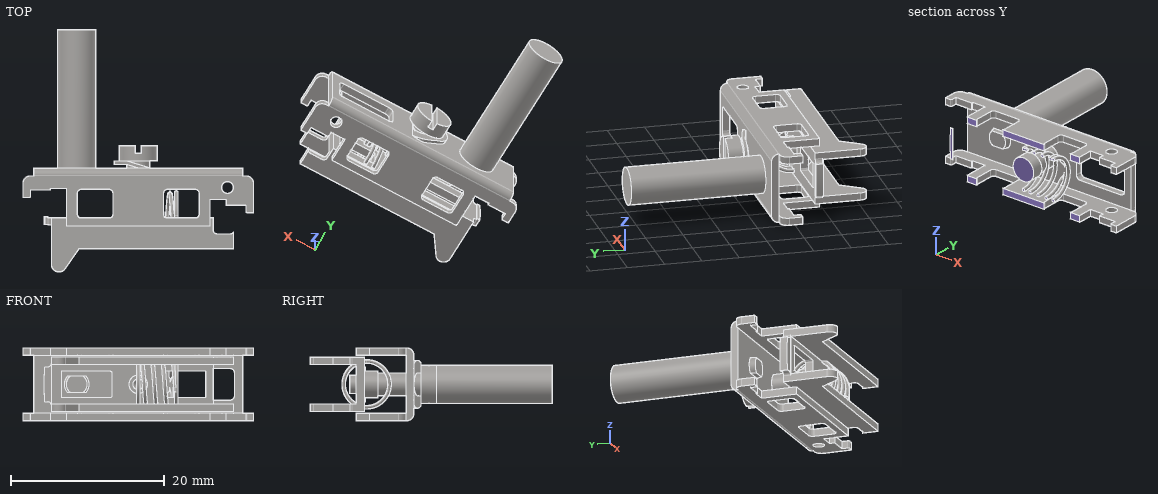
import cadquery as cq
import math

SHEET = 1.0
SIDE_GAP = 0.2

HOUSING_LENGTH = 30.0
HOUSING_HEIGHT = 9.5
PLATE_LENGTH = 27.2
BEND_RADIUS = 0.95
ARM_CORNER_RADIUS = 1.0
ARM_DEPTH = 6.5
ARM_BODY_HALF = 9.35
STEP_X = 11.42
TOOTH_WIDTH = 1.0
LEFT_STEP_Y = -1.65
LEFT_LEDGE_Y = -1.87
LEFT_TOOTH_Y = -2.83
RIGHT_STEP_Y = -3.1
RIGHT_LEDGE_Y = -3.83
RIGHT_TOOTH_Y = -4.8
TOOTH_FILLET = 0.15
ARM_WINDOW_LENGTH = 4.6
ARM_WINDOW_X = 5.6
ARM_WINDOW_TOP = -1.77
ARM_WINDOW_BOTTOM = -5.48
ARM_WINDOW_FILLET = 0.5
ARM_HOLE_DIAMETER = 1.5
ARM_HOLE_CENTER = (11.6, -1.52)
PLATE_WINDOW_LEFT = 4.55
PLATE_WINDOW_RIGHT = 12.5
PLATE_WINDOW_HEIGHT = 4.1
PLATE_WINDOW_FILLET = 0.6

ROD_X = -8.0
ROD_DIAMETER = 5.0
ROD_LENGTH = 18.0
RIVET_BASE_RADIUS = 1.6
RIVET_TIP_RADIUS = 1.35
RIVET_LENGTH = 0.75
RIVET_FLATS = 2.1

LATCH_HALF_HEIGHT = HOUSING_HEIGHT / 2 - SHEET - SIDE_GAP
LATCH_INNER_HALF = LATCH_HALF_HEIGHT - SHEET
LATCH_LEFT = -11.3
LATCH_TOP = -5.42
LATCH_EDGE = -9.5
LATCH_TIP = -12.5
HOOK_RADIUS = 1.0
HOOK_SLOPE_START = -7.7
WEB_RIGHT = 9.75
WEB_BOTTOM = -6.5
LATCH_RIGHT = 12.38
NOTCH_FLOOR = -7.53
NOTCH_RADIUS = 0.5
LIP_WIDTH = 0.4
WEB_WINDOW_HEIGHT = 3.4
LEFT_WEB_WINDOW = (-10.0, -3.4)
RIGHT_WEB_WINDOW = (3.5, 8.77)
WEB_WINDOW_FILLET = 0.2
TAB_HALF_HEIGHT = 2.27
TAB_TIP = -12.25
TAB_CORNER_X = -12.15
TAB_NECK_X = -11.75
TAB_RISE = 0.13
TAB_FILLET = 0.45
TAB_ROOT_LIFT = 0.08
TAB_TIP_LIFT = 0.2

SCREW_DIAMETER = 3.0
HEAD_DIAMETER = 5.0
HEAD_BOTTOM = 1.94
HEAD_TOP = 3.94
SLOT_WIDTH = 0.75
SLOT_DEPTH = 1.0
COLLAR_DIAMETER = 3.5
COLLAR_TOP = -3.7
STUB_DIAMETER = 2.4
STUB_END = -7.37
DIMPLE_RADIUS = 0.7
DIMPLE_DEPTH = 0.5
WASHER_RADIUS = 3.12
WASHER_THICKNESS = 0.47
WASHER_BEND_X = -1.45
WASHER_SLOPE = 0.31

COIL_RADIUS = 2.98
WIRE_RADIUS = 0.24
COIL_Y = -5.15
RING_POSITIONS = (0.0, 4.95)
COIL_START_X = 0.42
COIL_PITCH = 1.345
COIL_TURNS = 3.3


def arc_point(center, radius, degrees):
    angle = math.radians(degrees)
    return (center[0] + radius * math.cos(angle), center[1] + radius * math.sin(angle))


def rod_along_y(x, radius, y_start, y_end):
    """Round bar with its axis along Y."""
    profile = cq.Workplane("XZ", origin=(x, y_end, 0)).circle(radius)
    return profile.extrude(y_end - y_start)


def box_between(x_limits, y_limits, height):
    """Box with the given X and Y limits, centred on Z = 0."""
    size_x = x_limits[1] - x_limits[0]
    size_y = y_limits[1] - y_limits[0]
    return cq.Workplane("XY").box(size_x, size_y, height).translate((sum(x_limits) / 2, sum(y_limits) / 2, 0))


def housing_plate():
    plate = box_between((-PLATE_LENGTH / 2, PLATE_LENGTH / 2), (0, SHEET), HOUSING_HEIGHT)
    plate = plate.edges(">Y and |X").fillet(BEND_RADIUS)
    window = box_between((PLATE_WINDOW_LEFT, PLATE_WINDOW_RIGHT), (0, SHEET), PLATE_WINDOW_HEIGHT)
    window = window.edges("|Y").fillet(PLATE_WINDOW_FILLET)
    return plate.cut(window)


def housing_arms():
    half = HOUSING_LENGTH / 2
    tooth_x = half - TOOTH_WIDTH
    outline = [
        (-half, 0),
        (half, 0),
        (half, RIGHT_TOOTH_Y),
        (tooth_x, RIGHT_TOOTH_Y),
        (tooth_x, RIGHT_LEDGE_Y),
        (STEP_X, RIGHT_LEDGE_Y),
        (STEP_X, RIGHT_STEP_Y),
        (ARM_BODY_HALF, RIGHT_STEP_Y),
        (ARM_BODY_HALF, -ARM_DEPTH),
        (-ARM_BODY_HALF, -ARM_DEPTH),
        (-ARM_BODY_HALF, LEFT_STEP_Y),
        (-STEP_X, LEFT_STEP_Y),
        (-STEP_X, LEFT_LEDGE_Y),
        (-tooth_x, LEFT_LEDGE_Y),
        (-tooth_x, LEFT_TOOTH_Y),
        (-half, LEFT_TOOTH_Y),
    ]
    arms = cq.Workplane("XY").polyline(outline).close().extrude(HOUSING_HEIGHT / 2, both=True)
    arms = arms.edges("|Z and >Y").fillet(ARM_CORNER_RADIUS)
    for x, y in ((tooth_x, RIGHT_TOOTH_Y), (-tooth_x, LEFT_TOOTH_Y)):
        arms = arms.edges(cq.NearestToPointSelector((x, y, 0))).fillet(TOOTH_FILLET)
    for side in (-1, 1):
        middle = side * ARM_WINDOW_X
        x_limits = (middle - ARM_WINDOW_LENGTH / 2, middle + ARM_WINDOW_LENGTH / 2)
        window = box_between(x_limits, (ARM_WINDOW_BOTTOM, ARM_WINDOW_TOP), HOUSING_HEIGHT)
        arms = arms.cut(window.edges("|Z").fillet(ARM_WINDOW_FILLET))
    hole = cq.Workplane("XY").center(*ARM_HOLE_CENTER).circle(ARM_HOLE_DIAMETER / 2)
    arms = arms.cut(hole.extrude(HOUSING_HEIGHT / 2, both=True))
    space_between = box_between((-half, half), (-ARM_DEPTH, 0), HOUSING_HEIGHT - 2 * SHEET)
    return arms.cut(space_between)


def rod_with_rivet():
    rod = rod_along_y(ROD_X, ROD_DIAMETER / 2, SHEET, SHEET + ROD_LENGTH)
    rivet = cq.Workplane(cq.Solid.makeCone(
        RIVET_BASE_RADIUS, RIVET_TIP_RADIUS, RIVET_LENGTH, cq.Vector(ROD_X, 0, 0), cq.Vector(0, -1, 0)))
    flats = box_between(
        (ROD_X - RIVET_BASE_RADIUS, ROD_X + RIVET_BASE_RADIUS), (-RIVET_LENGTH, 0), RIVET_FLATS)
    return rod, rivet.intersect(flats)


def make_housing():
    rod, rivet = rod_with_rivet()
    housing = housing_plate().union(housing_arms()).union(rod).union(rivet)
    return housing.cut(rod_along_y(0, SCREW_DIAMETER / 2, 0, SHEET))


def latch_arms():
    hook = (LATCH_LEFT + HOOK_RADIUS, LATCH_TIP + HOOK_RADIUS)
    rise = LATCH_EDGE - hook[1]
    run = HOOK_SLOPE_START - hook[0]
    slope = math.degrees(math.atan2(rise, run) + math.asin(HOOK_RADIUS / math.hypot(run, rise)))
    tangent = slope - 90
    notch_left = (WEB_RIGHT + NOTCH_RADIUS, NOTCH_FLOOR + NOTCH_RADIUS)
    notch_right = (LATCH_RIGHT - LIP_WIDTH, NOTCH_FLOOR + NOTCH_RADIUS)
    lip = -math.degrees(math.acos(LIP_WIDTH / NOTCH_RADIUS))
    profile = (
        cq.Workplane("XY")
        .moveTo(LATCH_LEFT, LATCH_TOP)
        .lineTo(LATCH_LEFT, hook[1])
        .threePointArc(
            arc_point(hook, HOOK_RADIUS, (tangent - 180) / 2), arc_point(hook, HOOK_RADIUS, tangent))
        .lineTo(HOOK_SLOPE_START, LATCH_EDGE)
        .lineTo(LATCH_RIGHT, LATCH_EDGE)
        .lineTo(*arc_point(notch_right, NOTCH_RADIUS, lip))
        .threePointArc(
            arc_point(notch_right, NOTCH_RADIUS, (lip - 90) / 2), arc_point(notch_right, NOTCH_RADIUS, -90))
        .lineTo(notch_left[0], NOTCH_FLOOR)
        .threePointArc(arc_point(notch_left, NOTCH_RADIUS, -135), arc_point(notch_left, NOTCH_RADIUS, 180))
        .lineTo(WEB_RIGHT, LATCH_TOP)
        .close()
    )
    arms = profile.extrude(LATCH_HALF_HEIGHT, both=True)
    space_between = box_between((LATCH_LEFT, LATCH_RIGHT), (LATCH_TIP, LATCH_TOP), 2 * LATCH_INNER_HALF)
    return arms.cut(space_between)


def latch_web():
    y_limits = (WEB_BOTTOM, LATCH_TOP)
    web = box_between((LATCH_LEFT, WEB_RIGHT), y_limits, 2 * LATCH_INNER_HALF)
    left_window = box_between(LEFT_WEB_WINDOW, y_limits, WEB_WINDOW_HEIGHT)
    left_window = left_window.edges("|Y and >X").fillet(WEB_WINDOW_FILLET)
    right_window = box_between(RIGHT_WEB_WINDOW, y_limits, WEB_WINDOW_HEIGHT)
    return web.cut(left_window).cut(right_window)


def latch_tab():
    """Tab with an arched end and a flared neck, its tip bent up slightly."""
    flare_z = TAB_HALF_HEIGHT + TAB_FILLET
    flare_x = LATCH_LEFT - TAB_FILLET
    arc_offset = TAB_FILLET * math.sqrt(0.5)
    upper_middle = (flare_x + arc_offset, flare_z - arc_offset)
    lower_middle = (upper_middle[0], -upper_middle[1])
    tip_top = LATCH_TOP + TAB_RISE
    plan = (
        cq.Workplane("XZ", origin=(0, tip_top, 0))
        .moveTo(LATCH_LEFT, -flare_z)
        .threePointArc(lower_middle, (flare_x, -TAB_HALF_HEIGHT))
        .lineTo(TAB_CORNER_X, -TAB_HALF_HEIGHT)
        .threePointArc((TAB_TIP, 0), (TAB_CORNER_X, TAB_HALF_HEIGHT))
        .lineTo(flare_x, TAB_HALF_HEIGHT)
        .threePointArc(upper_middle, (LATCH_LEFT, flare_z))
        .close()
        .extrude(tip_top - WEB_BOTTOM)
    )
    section = [
        (LATCH_LEFT, LATCH_TOP),
        (TAB_NECK_X, LATCH_TOP),
        (TAB_NECK_X, tip_top),
        (TAB_TIP, tip_top),
        (TAB_TIP, WEB_BOTTOM + TAB_TIP_LIFT),
        (LATCH_LEFT, WEB_BOTTOM + TAB_ROOT_LIFT),
    ]
    strip = cq.Workplane("XY").polyline(section).close().extrude(flare_z, both=True)
    return plan.intersect(strip)


def slotted_screw():
    head = rod_along_y(0, HEAD_DIAMETER / 2, HEAD_BOTTOM, HEAD_TOP)
    slot_x = (-SLOT_WIDTH / 2, SLOT_WIDTH / 2)
    head = head.cut(box_between(slot_x, (HEAD_TOP - SLOT_DEPTH, HEAD_TOP), HEAD_DIAMETER))
    shank = rod_along_y(0, SCREW_DIAMETER / 2, COLLAR_TOP, HEAD_BOTTOM)
    collar = rod_along_y(0, COLLAR_DIAMETER / 2, LATCH_TOP, COLLAR_TOP)
    stub = rod_along_y(0, STUB_DIAMETER / 2, STUB_END, LATCH_TOP)
    dimple = cq.Workplane(cq.Solid.makeCone(
        DIMPLE_RADIUS, 0, DIMPLE_DEPTH, cq.Vector(0, STUB_END, 0), cq.Vector(0, 1, 0)))
    return head.union(shank).union(collar).union(stub).cut(dimple)


def bent_washer():
    """Round washer, flat under the head on one side and bent down onto the plate on the other."""
    underside = HEAD_BOTTOM - WASHER_THICKNESS
    top_end_x = WASHER_BEND_X + (HEAD_BOTTOM - SHEET) / WASHER_SLOPE
    bottom_end_x = WASHER_BEND_X + (underside - SHEET) / WASHER_SLOPE
    section = [
        (-WASHER_RADIUS, underside),
        (-WASHER_RADIUS, HEAD_BOTTOM),
        (WASHER_BEND_X, HEAD_BOTTOM),
        (top_end_x, SHEET),
        (bottom_end_x, SHEET),
        (WASHER_BEND_X, underside),
    ]
    strip = cq.Workplane("XY").polyline(section).close().extrude(WASHER_RADIUS, both=True)
    return strip.intersect(rod_along_y(0, WASHER_RADIUS, SHEET, HEAD_BOTTOM))


def coil_spring():
    """Open coil along X with a closed ring at each end."""
    axis = cq.Vector(1, 0, 0)
    length = COIL_PITCH * COIL_TURNS
    path = cq.Wire.makeHelix(COIL_PITCH, length, COIL_RADIUS)
    wire = cq.Workplane("XZ", origin=(COIL_RADIUS, 0, 0)).circle(WIRE_RADIUS).sweep(
        cq.Workplane(path), isFrenet=True)
    coil = wire.rotate((0, 0, 0), (0, 1, 0), 90).rotate((0, 0, 0), (1, 0, 0), 180)
    coil = coil.translate((COIL_START_X, COIL_Y, 0))
    rings = [
        cq.Workplane(cq.Solid.makeTorus(COIL_RADIUS, WIRE_RADIUS, cq.Vector(x, COIL_Y, 0), axis))
        for x in RING_POSITIONS
    ]
    return coil, rings


def make_latch():
    latch = latch_arms().union(latch_web()).union(latch_tab())
    latch = latch.union(slotted_screw()).union(bent_washer())
    coil, rings = coil_spring()
    latch = latch.union(coil)
    for ring in rings:
        latch = latch.union(ring)
    return latch


housing = make_housing()
latch = make_latch()

result = cq.Compound.makeCompound([housing.val(), latch.val()])